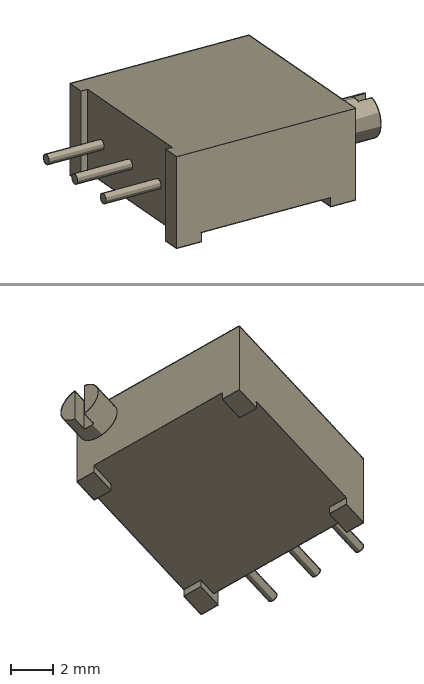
import cadquery as cq

HOUSING_WIDTH = 9.53
HOUSING_LENGTH = 10.03
HOUSING_HEIGHT = 4.82
FOOT_WIDTH = 1.0
FOOT_LENGTH = 1.4
FOOT_HEIGHT = 0.49
FRONT_RECESS_DEPTH = 0.37
GAP_BETWEEN_FEET = HOUSING_WIDTH - 2 * FOOT_WIDTH

PIN_COUNT = 3
PIN_DIAMETER = 0.51
PIN_PITCH = 2.54
PIN_PROJECTION = 2.71
PIN_HEIGHT = HOUSING_HEIGHT / 2

OVERALL_LENGTH = 14.27
SCREW_DIAMETER = 2.2
SCREW_LENGTH = OVERALL_LENGTH - HOUSING_LENGTH - PIN_PROJECTION
SCREW_X = 3.5
SCREW_Z = HOUSING_HEIGHT - 1.28
SLOT_WIDTH = 0.55
SLOT_DEPTH = 0.75


def box_from_base(width, length, height, y_start):
    """Box centred on X, starting at y_start and rising from Z = 0."""
    box = cq.Workplane("XY").box(width, length, height, centered=(True, False, False))
    return box.translate((0, y_start, 0))


def make_housing():
    """Block with four corner feet and a recessed front face."""
    block = box_from_base(HOUSING_WIDTH, HOUSING_LENGTH, HOUSING_HEIGHT, 0)
    lengthwise_gap = box_from_base(GAP_BETWEEN_FEET, HOUSING_LENGTH, FOOT_HEIGHT, 0)
    crosswise_gap = box_from_base(HOUSING_WIDTH, HOUSING_LENGTH - 2 * FOOT_LENGTH, FOOT_HEIGHT, FOOT_LENGTH)
    front_recess = box_from_base(GAP_BETWEEN_FEET, FRONT_RECESS_DEPTH, HOUSING_HEIGHT, 0)
    return block.cut(lengthwise_gap).cut(crosswise_gap).cut(front_recess)


def make_pin(x):
    """Round pin running forward from the recessed front face."""
    return (
        cq.Workplane("XZ", origin=(x, FRONT_RECESS_DEPTH, PIN_HEIGHT))
        .circle(PIN_DIAMETER / 2)
        .extrude(FRONT_RECESS_DEPTH + PIN_PROJECTION)
    )


def make_screw():
    """Round screw head with a screwdriver slot running along Z."""
    screw_end = HOUSING_LENGTH + SCREW_LENGTH
    head = (
        cq.Workplane("XZ", origin=(SCREW_X, screw_end, SCREW_Z))
        .circle(SCREW_DIAMETER / 2)
        .extrude(SCREW_LENGTH)
    )
    slot = (
        cq.Workplane("XZ", origin=(SCREW_X, screw_end, SCREW_Z))
        .rect(SLOT_WIDTH, SCREW_DIAMETER)
        .extrude(SLOT_DEPTH)
    )
    return head.cut(slot)


housing = make_housing()
pins = [make_pin((i - (PIN_COUNT - 1) / 2) * PIN_PITCH) for i in range(PIN_COUNT)]
screw = make_screw()

result = cq.Compound.makeCompound([housing.val(), *[pin.val() for pin in pins], screw.val()])